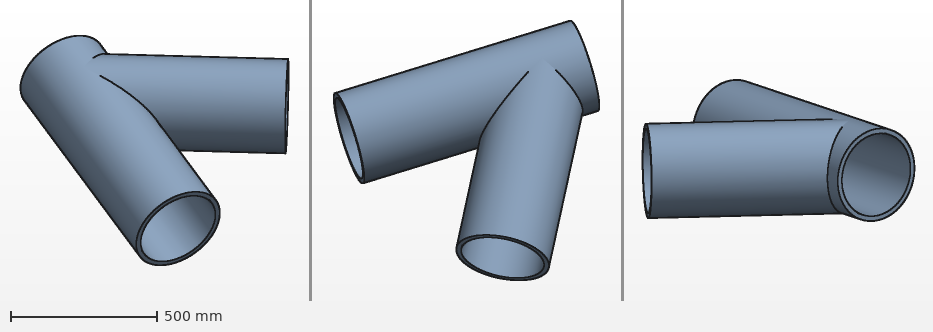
import cadquery as cq
import math

outer_diameter = 324.0
bore_diameter = 289.0

run_length = 851.0
branch_angle = 60.0
branch_start = 154.0
branch_length = 698.0

run_origin = cq.Vector(0, 0, 0)
run_direction = cq.Vector(1, 0, 0)
branch_origin = cq.Vector(branch_start, 0, 0)
branch_direction = cq.Vector(
    math.cos(math.radians(branch_angle)),
    math.sin(math.radians(branch_angle)),
    0,
)


def run_cylinder(diameter):
    """Cylinder along the straight run."""
    return cq.Workplane(cq.Solid.makeCylinder(diameter / 2, run_length, run_origin, run_direction))


def branch_cylinder(diameter):
    """Cylinder along the branch, starting where the two axes cross."""
    return cq.Workplane(cq.Solid.makeCylinder(diameter / 2, branch_length, branch_origin, branch_direction))


body = run_cylinder(outer_diameter).union(branch_cylinder(outer_diameter))
result = body.cut(run_cylinder(bore_diameter)).cut(branch_cylinder(bore_diameter))